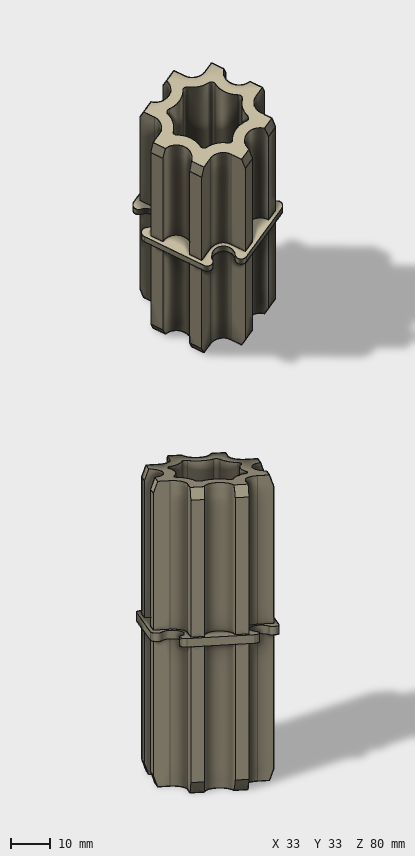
import cadquery as cq
import math

length = 80.0
body_width = 30.9
arm_width = 14.9
corner_flute_radius = 3.8
end_flute_radius = 3.9
end_flute_center = 15.4
end_taper_height = 3.0
end_taper_angle = 20.0

corner_wall = 3.0
end_bulge_radius = 6.5
end_bulge_center = 14.8
bore_groove_radius = 1.0

collar_width = 33.0
collar_thickness = 2.2
collar_corner_radius = 1.5
collar_corner_center = 8.7
collar_notch_center = 11.4

quarter_turns = (0, 90, 180, 270)

corner_flute_center = arm_width / 2 + corner_flute_radius


def around_axis(shape):
    """Four copies of a shape, a quarter turn apart about Z."""
    copies = cq.Workplane("XY")
    for angle in quarter_turns:
        copies = copies.add(shape.rotate((0, 0, 0), (0, 0, 1), angle))
    return copies.combine()


def column(x, y, radius):
    """Full-length round column parallel to Z."""
    return cq.Workplane("XY").center(x, y).circle(radius).extrude(length / 2, both=True)


def make_body():
    """Square bar with open corners, a flute on every side and tapered arm ends."""
    half = body_width / 2
    bar = cq.Workplane("XY").rect(body_width, body_width).extrude(length / 2, both=True)
    corner_side = body_width - arm_width
    corner = (
        cq.Workplane("XY")
        .center(half, half)
        .rect(corner_side, corner_side)
        .extrude(length / 2, both=True)
        .edges("|Z and <X and <Y")
        .fillet(corner_flute_radius)
    )
    bar = bar.cut(around_axis(corner))
    bar = bar.cut(around_axis(column(0, end_flute_center, end_flute_radius)))
    return bar.intersect(make_taper_envelope())


def make_taper_envelope():
    """Square bar narrowed on all four sides towards both ends."""
    straight = length - 2 * end_taper_height
    core = cq.Workplane("XY").rect(body_width, body_width).extrude(straight / 2, both=True)
    for face in (">Z", "<Z"):
        core = (
            core.faces(face)
            .workplane(origin=(0, 0, 0))
            .rect(body_width, body_width)
            .extrude(end_taper_height, taper=end_taper_angle)
        )
    return core


def make_collar():
    """Cross-shaped plate with rounded arm corners that sweep into round notches."""
    half = collar_width / 2
    corner_x = collar_corner_center
    corner_y = half - collar_corner_radius
    toward_x = collar_notch_center - corner_x
    toward_y = collar_notch_center - corner_y
    step = collar_corner_radius / math.hypot(toward_x, toward_y)
    meet_x = corner_x + step * toward_x
    meet_y = corner_y + step * toward_y

    quarter = (
        cq.Workplane("XY")
        .moveTo(0, 0)
        .lineTo(0, half)
        .lineTo(corner_x, half)
        .tangentArcPoint((meet_x, meet_y), relative=False)
        .tangentArcPoint((meet_y, meet_x), relative=False)
        .tangentArcPoint((half, corner_x), relative=False)
        .lineTo(half, 0)
        .close()
        .extrude(collar_thickness / 2, both=True)
    )
    return around_axis(quarter)


def make_bore():
    """Core of the bore: a round column cut back by eight bulges, its sharp ridges rounded."""
    core = column(0, 0, end_flute_center - end_flute_radius)
    c = corner_flute_center
    core = core.cut(around_axis(column(0, end_bulge_center, end_bulge_radius)))
    core = core.cut(around_axis(column(c, c, corner_flute_radius + corner_wall)))
    return core.edges("|Z").fillet(bore_groove_radius)


result = make_body().union(make_collar()).cut(make_bore())